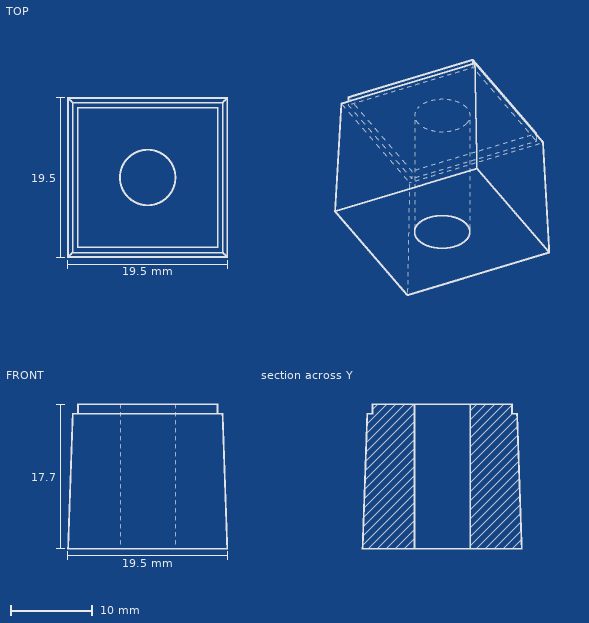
import cadquery as cq

base_side = 19.51
shoulder_side = 18.35
step_side = 17.11
total_height = 17.7
step_height = 1.15
bore_diameter = 6.77

body_height = total_height - step_height

body = (
    cq.Workplane("XY")
    .rect(base_side, base_side)
    .workplane(offset=body_height)
    .rect(shoulder_side, shoulder_side)
    .loft(ruled=True)
)

step = (
    cq.Workplane("XY")
    .workplane(offset=body_height)
    .rect(step_side, step_side)
    .extrude(step_height)
)

bore = cq.Workplane("XY").circle(bore_diameter / 2).extrude(total_height)

result = body.union(step).cut(bore)